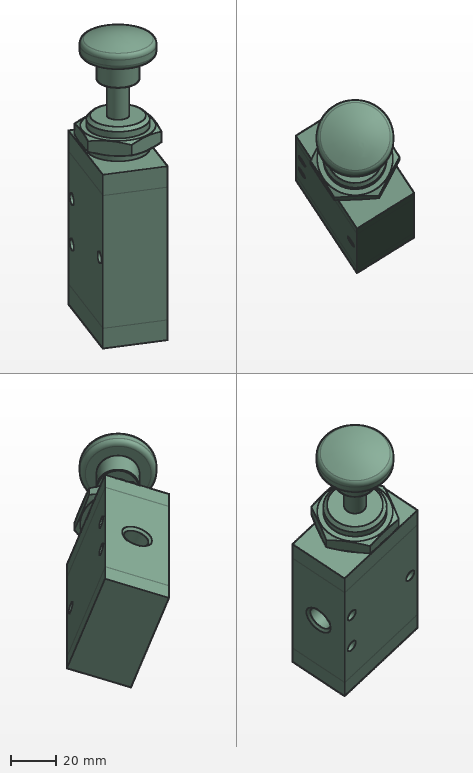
import cadquery as cq
import math

BLOCK_WIDTH = 50.0
BLOCK_DEPTH = 30.0
BLOCK_HEIGHT = 84.0
END_CAP_HEIGHT = 10.0

MOUNT_HOLE_DIAMETER = 5.5
MOUNT_HOLE_X = 20.0
LEFT_HOLE_SPACING = 22.0

PORT_DIAMETER = 11.5
PORT_MOUTH_DIAMETER = 14.0
PORT_DEPTH = 14.0

NECK_DIAMETER = 28.0
NECK_HEIGHT = 16.0
NECK_CHAMFER = 1.7

NUT_ACROSS_FLATS = 34.0
NUT_THICKNESS = 7.3
NUT_BASE_GAP = 3.8
NUT_FACE_DIAMETER = 33.3
NUT_BEVEL_ANGLE = 20.0

STEM_DIAMETER = 10.0
HUB_DIAMETER = 19.0
HUB_HEIGHT = 11.8
HUB_CHAMFER = 0.4
BUTTON_DIAMETER = 34.0
BUTTON_TOP = 140.0
BUTTON_HEIGHT = 11.0
LOWER_EDGE_RADIUS = 2.5
DOME_DIAMETER = 30.8
DOME_HEIGHT = 3.1
SHOULDER_HEIGHT = 2.5

NECK_TOP = BLOCK_HEIGHT + NECK_HEIGHT


def vertical_cylinder(diameter, bottom, height):
    return cq.Workplane("XY").workplane(offset=bottom).circle(diameter / 2).extrude(height)


def make_block():
    """Middle block between two flush end caps; the seams stay as lines on the sides."""
    middle_height = BLOCK_HEIGHT - 2 * END_CAP_HEIGHT
    block = cq.Workplane("XY")
    bottom = 0
    for height in (END_CAP_HEIGHT, middle_height, END_CAP_HEIGHT):
        layer = cq.Workplane("XY").box(BLOCK_WIDTH, BLOCK_DEPTH, height, centered=(True, True, False))
        block = block.union(layer.translate((0, 0, bottom)), clean=False)
        bottom += height
    return block


def make_mount_holes():
    """One hole at mid height on the right, two spaced about mid height on the left."""
    middle = BLOCK_HEIGHT / 2
    places = [
        (MOUNT_HOLE_X, middle),
        (-MOUNT_HOLE_X, middle + LEFT_HOLE_SPACING / 2),
        (-MOUNT_HOLE_X, middle - LEFT_HOLE_SPACING / 2),
    ]
    return (
        cq.Workplane("XZ")
        .pushPoints(places)
        .circle(MOUNT_HOLE_DIAMETER / 2)
        .extrude(BLOCK_DEPTH / 2, both=True)
    )


def make_port():
    """Blind port with a 45 degree countersink, on the middle of the -X face."""
    bore_radius = PORT_DIAMETER / 2
    mouth_radius = PORT_MOUTH_DIAMETER / 2
    countersink_depth = mouth_radius - bore_radius
    profile = [
        (0, 0),
        (mouth_radius, 0),
        (bore_radius, countersink_depth),
        (bore_radius, PORT_DEPTH),
        (0, PORT_DEPTH),
    ]
    port = cq.Workplane("XY").polyline(profile).close().revolve(360, (0, 0), (0, 1))
    return port.rotate((0, 0, 0), (0, 0, 1), -90).translate((-BLOCK_WIDTH / 2, 0, BLOCK_HEIGHT / 2))


def make_nut():
    """Hexagon with corners along X, bevelled above and below, its bore fitting the neck."""
    corner_radius = NUT_ACROSS_FLATS / 2 / math.cos(math.pi / 6)
    face_radius = NUT_FACE_DIAMETER / 2
    bevel_height = (corner_radius - face_radius) * math.tan(math.radians(NUT_BEVEL_ANGLE))
    hexagon = cq.Workplane("XY").polygon(6, 2 * corner_radius).extrude(NUT_THICKNESS)
    bevel_profile = [
        (0, 0),
        (face_radius, 0),
        (corner_radius, bevel_height),
        (corner_radius, NUT_THICKNESS - bevel_height),
        (face_radius, NUT_THICKNESS),
        (0, NUT_THICKNESS),
    ]
    bevel = cq.Workplane("XZ").polyline(bevel_profile).close().revolve(360, (0, 0), (0, 1))
    bore = vertical_cylinder(NECK_DIAMETER, 0, NUT_THICKNESS)
    return hexagon.intersect(bevel).cut(bore).translate((0, 0, BLOCK_HEIGHT + NUT_BASE_GAP))


def make_button():
    """Flat-bottomed button with rounded edges under a shallow dome."""
    radius = BUTTON_DIAMETER / 2
    dome_radius = DOME_DIAMETER / 2
    bottom = BUTTON_TOP - BUTTON_HEIGHT
    dome_edge = BUTTON_TOP - DOME_HEIGHT
    sphere_radius = (dome_radius**2 + DOME_HEIGHT**2) / (2 * DOME_HEIGHT)
    half_angle = math.asin(dome_radius / sphere_radius) / 2
    dome_middle = (
        sphere_radius * math.sin(half_angle),
        BUTTON_TOP - sphere_radius * (1 - math.cos(half_angle)),
    )
    return (
        cq.Workplane("XZ")
        .moveTo(0, bottom)
        .lineTo(radius - LOWER_EDGE_RADIUS, bottom)
        .radiusArc((radius, bottom + LOWER_EDGE_RADIUS), -LOWER_EDGE_RADIUS)
        .lineTo(radius, dome_edge - SHOULDER_HEIGHT)
        .tangentArcPoint((dome_radius, dome_edge), relative=False)
        .threePointArc(dome_middle, (0, BUTTON_TOP))
        .close()
        .revolve(360, (0, 0), (0, 1))
    )


def make_plunger():
    """Stem standing on the neck, with the hub and button above it."""
    button_bottom = BUTTON_TOP - BUTTON_HEIGHT
    hub_bottom = button_bottom - HUB_HEIGHT
    stem = vertical_cylinder(STEM_DIAMETER, NECK_TOP, hub_bottom - NECK_TOP)
    hub = vertical_cylinder(HUB_DIAMETER, hub_bottom, HUB_HEIGHT).faces("<Z").chamfer(HUB_CHAMFER)
    return make_button().union(hub).union(stem)


def make_valve():
    """Block, neck and plunger in one solid; skipping clean keeps the end cap seams."""
    neck = vertical_cylinder(NECK_DIAMETER, BLOCK_HEIGHT, NECK_HEIGHT).faces(">Z").chamfer(NECK_CHAMFER)
    valve = make_block().cut(make_mount_holes(), clean=False).cut(make_port(), clean=False)
    return valve.union(neck, clean=False).union(make_plunger(), clean=False)


valve = make_valve()
nut = make_nut()

result = cq.Compound.makeCompound([valve.solids().val(), nut.solids().val()])